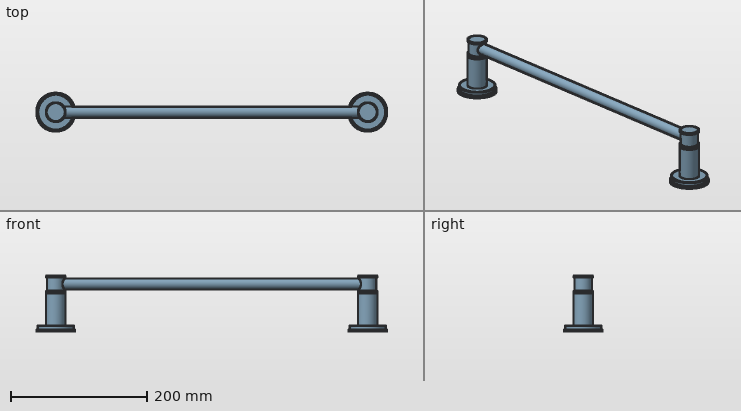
import cadquery as cq

overall_length = 514.5
flange_diameter = 57.0
post_height = 82.5
post_spacing = overall_length - flange_diameter
post_centers = [-post_spacing / 2, post_spacing / 2]

flange_radius = flange_diameter / 2
rim_height = 2.0
disc_radius = 27.0
disc_start_height = 3.5
base_height = 9.5
base_chamfer = 1.0

sleeve_radius = 14.5
sleeve_height = 60.0
shoulder_drop = 1.0
groove_bottom_height = 56.0
groove_width = 1.0
groove_depth = 0.5

neck_radius = 13.0
cap_thickness = 3.0
cap_chamfer = 1.0

rod_diameter = 16.5
rod_axis_height = 70.0


def make_post(center_x):
    """Turned post: stepped base, grooved sleeve, slimmer neck and chamfered cap."""
    cap_underside = post_height - cap_thickness
    groove_radius = sleeve_radius - groove_depth
    groove_top_height = groove_bottom_height + groove_width
    return (
        cq.Workplane("XZ")
        .lineTo(flange_radius, 0)
        .lineTo(flange_radius, rim_height)
        .lineTo(disc_radius, disc_start_height)
        .lineTo(disc_radius, base_height - base_chamfer)
        .lineTo(disc_radius - base_chamfer, base_height)
        .lineTo(sleeve_radius, base_height)
        .lineTo(sleeve_radius, groove_bottom_height)
        .lineTo(groove_radius, groove_bottom_height)
        .lineTo(groove_radius, groove_top_height)
        .lineTo(sleeve_radius, groove_top_height)
        .lineTo(sleeve_radius, sleeve_height - shoulder_drop)
        .lineTo(neck_radius, sleeve_height)
        .lineTo(neck_radius, cap_underside)
        .lineTo(sleeve_radius, cap_underside + cap_chamfer)
        .lineTo(sleeve_radius, post_height - cap_chamfer)
        .lineTo(sleeve_radius - cap_chamfer, post_height)
        .lineTo(0, post_height)
        .close()
        .revolve(360, (0, 0), (0, 1))
        .translate((center_x, 0, 0))
    )


def make_rod():
    """Round rod between the posts, its ends saddle-cut to fit against the necks."""
    rod = (
        cq.Workplane("YZ", origin=(-post_spacing / 2, 0, 0))
        .center(0, rod_axis_height)
        .circle(rod_diameter / 2)
        .extrude(post_spacing)
    )
    neck_cylinders = cq.Workplane("XY").pushPoints([(x, 0) for x in post_centers])
    return rod.cut(neck_cylinders.circle(neck_radius).extrude(post_height)).solids()


posts = [make_post(center_x) for center_x in post_centers]
rod = make_rod()

result = cq.Compound.makeCompound([*[post.val() for post in posts], rod.val()])